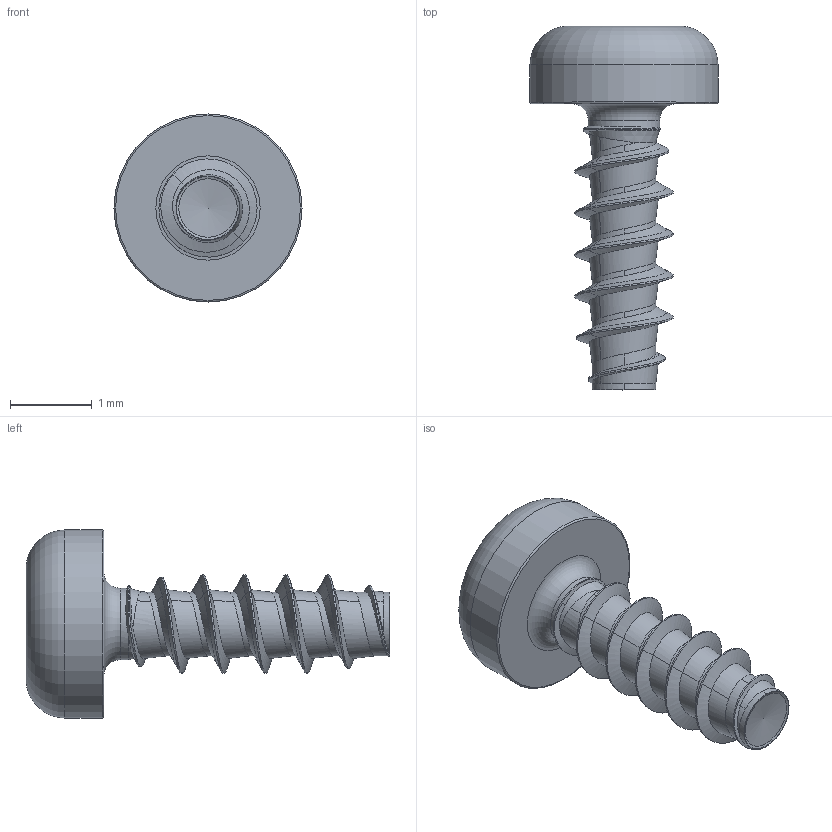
import cadquery as cq
import math


HEAD_RADIUS = 2.3 / 2
HEAD_HEIGHT = 0.95
HEAD_ROUND = HEAD_HEIGHT / 2
HEAD_RIM_FILLET = 0.02

SHANK_LENGTH = 3.5
NECK_RADIUS = 0.4375
NECK_FILLET = 0.2
NECK_END = 0.308
CORE_RADIUS = 0.39
CORE_START = 0.48

TIP_LIP_RADIUS = 0.385
TIP_LIP_DEPTH = 0.01
DISH_RADIUS = 0.357
DISH_DEPTH = 0.04

PITCH = 0.51
CREST_RADIUS = 0.6
CREST_WIDTH = 0.02
KINK_RADIUS = 0.515
HEAD_FLANK_ANGLE = 26.0
HEAD_ROOT_ANGLE = 30.0
TIP_FLANK_ANGLE = 15.0
BURIED_RADIUS = 0.35
FIRST_CREST_DEPTH = 0.317
PHASE_DEPTH = FIRST_CREST_DEPTH - PITCH / 2
THREAD_START = 0.0
THREAD_OVERRUN = 0.1
THREAD_END = SHANK_LENGTH + THREAD_OVERRUN
EDGES_PER_TURN = 2
POINTS_PER_EDGE = 8

RUN_IN_END = 0.826
RUN_IN_SLOPE = 0.2
RUN_OUT_START = 2.78
RUN_OUT_SLOPE = 0.28

RAMP_TOP_RADIUS = 0.428
RAMP_LENGTH = 0.32
RAMP_FADE_START = 3.1
RAMP_FADE_SLOPE = 0.12
RAMP_BURY = 0.015


def make_body():
    """Revolve head, neck, neck-to-core taper and core."""
    arc_mid = math.cos(math.radians(45))
    fillet_edge = NECK_RADIUS + NECK_FILLET
    profile = (
        cq.Workplane("XY")
        .moveTo(0, HEAD_HEIGHT)
        .lineTo(HEAD_RADIUS - HEAD_ROUND, HEAD_HEIGHT)
        .threePointArc(
            (HEAD_RADIUS - HEAD_ROUND * (1 - arc_mid), HEAD_HEIGHT - HEAD_ROUND * (1 - arc_mid)),
            (HEAD_RADIUS, HEAD_HEIGHT - HEAD_ROUND),
        )
        .lineTo(HEAD_RADIUS, HEAD_RIM_FILLET)
        .threePointArc(
            (HEAD_RADIUS - HEAD_RIM_FILLET * (1 - arc_mid), HEAD_RIM_FILLET * (1 - arc_mid)),
            (HEAD_RADIUS - HEAD_RIM_FILLET, 0),
        )
        .lineTo(fillet_edge, 0)
        .threePointArc(
            (fillet_edge - NECK_FILLET * arc_mid, -NECK_FILLET * (1 - arc_mid)),
            (NECK_RADIUS, -NECK_FILLET),
        )
        .lineTo(NECK_RADIUS, -NECK_END)
        .lineTo(CORE_RADIUS, -CORE_START)
        .lineTo(CORE_RADIUS, -SHANK_LENGTH)
        .lineTo(0, -SHANK_LENGTH)
        .close()
    )
    return profile.revolve(360, (0, 0, 0), (0, 1, 0)).rotate((0, 0, 0), (0, 1, 0), -90)


def crest_drop(depth):
    """Radial amount by which the thread fin sinks into the shank at its two ends."""
    run_in = RUN_IN_SLOPE * (RUN_IN_END - depth)
    run_out = RUN_OUT_SLOPE * (depth - RUN_OUT_START)
    return max(run_in, run_out, 0.0)


def ramp_drop(depth):
    """Radial amount by which the ramp sinks into the core toward the tip."""
    return max(RAMP_FADE_SLOPE * (depth - RAMP_FADE_START), 0.0)


def helix_edge(start, end, radius, offset, drop, shallowest):
    """Right-handed helical edge between two depths; it levels off at the shallowest depth."""
    points = []
    for i in range(POINTS_PER_EDGE + 1):
        depth = start + (end - start) * i / POINTS_PER_EDGE
        angle = 2 * math.pi * (depth - PHASE_DEPTH) / PITCH
        r = radius - drop(depth)
        y = -(max(depth, shallowest) + offset)
        points.append(cq.Vector(r * math.cos(angle), y, r * math.sin(angle)))
    return cq.Edge.makeSpline(points)


def end_cap(edges, place):
    """Flat face closing the thread at the start (0) or end (1) of its edges."""
    corners = [edge.positionAt(place) for edge in edges]
    return cq.Face.makeFromWires(cq.Wire.makePolygon(corners, close=True))


def helical_solid(section, drop, shallowest):
    """Solid swept along the thread helix from a section of (radius, axial offset) corners."""
    faces = []
    count = math.ceil((THREAD_END - THREAD_START) / PITCH * EDGES_PER_TURN)
    for k in range(count):
        start = THREAD_START + k * PITCH / EDGES_PER_TURN
        end = start + PITCH / EDGES_PER_TURN
        edges = [helix_edge(start, end, r, offset, drop, shallowest) for r, offset in section]
        for i, edge in enumerate(edges):
            faces.append(cq.Face.makeRuledSurface(edges[i - 1], edge))
        if k == 0:
            faces.append(end_cap(edges, 0))
    faces.append(end_cap(edges, 1))
    solid = cq.Solid.makeSolid(cq.Shell.makeShell(faces))
    return cq.Workplane(solid.fix())


def make_fin():
    """Cutting fin of the thread, with a kinked flank toward the head."""
    half_crest = CREST_WIDTH / 2
    kink = -half_crest - (CREST_RADIUS - KINK_RADIUS) * math.tan(math.radians(HEAD_FLANK_ANGLE))
    head_root = kink - (KINK_RADIUS - BURIED_RADIUS) * math.tan(math.radians(HEAD_ROOT_ANGLE))
    tip_root = half_crest + (CREST_RADIUS - BURIED_RADIUS) * math.tan(math.radians(TIP_FLANK_ANGLE))
    section = [
        (BURIED_RADIUS, head_root),
        (KINK_RADIUS, kink),
        (CREST_RADIUS, -half_crest),
        (CREST_RADIUS, half_crest),
        (BURIED_RADIUS, tip_root),
    ]
    return helical_solid(section, crest_drop, NECK_END)


def make_ramp():
    """Helical ramp that tapers the core from each turn of the fin toward the next."""
    taper = (RAMP_TOP_RADIUS - CORE_RADIUS) / RAMP_LENGTH
    buried_length = RAMP_LENGTH + RAMP_BURY / taper
    section = [
        (BURIED_RADIUS, 0),
        (RAMP_TOP_RADIUS, 0),
        (CORE_RADIUS - RAMP_BURY, buried_length),
        (BURIED_RADIUS, buried_length),
    ]
    return helical_solid(section, ramp_drop, THREAD_START)


def make_tip_cut():
    """Everything beyond the tip plane, plus the bevelled lip and conical dish in the tip."""
    profile = (
        cq.Workplane("XY")
        .moveTo(0, -SHANK_LENGTH + TIP_LIP_DEPTH + DISH_DEPTH)
        .lineTo(DISH_RADIUS, -SHANK_LENGTH + TIP_LIP_DEPTH)
        .lineTo(TIP_LIP_RADIUS, -SHANK_LENGTH)
        .lineTo(HEAD_RADIUS, -SHANK_LENGTH)
        .lineTo(HEAD_RADIUS, -SHANK_LENGTH - HEAD_HEIGHT)
        .lineTo(0, -SHANK_LENGTH - HEAD_HEIGHT)
        .close()
    )
    return profile.revolve(360, (0, 0, 0), (0, 1, 0)).rotate((0, 0, 0), (0, 1, 0), -90)


result = make_body().union(make_fin()).union(make_ramp()).cut(make_tip_cut())